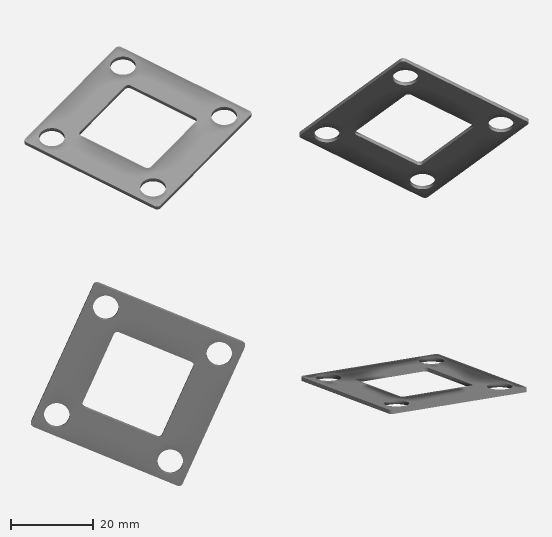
import cadquery as cq

side = 40.0
thickness = 1.0
corner_radius = 1.0

window_side = 21.0
window_corner_radius = 1.0

hole_diameter = 6.2
hole_spacing = 30.0


def rounded_square(width, radius):
    """Square prism of the plate thickness with rounded vertical edges."""
    return cq.Workplane("XY").box(width, width, thickness).edges("|Z").fillet(radius)


plate = rounded_square(side, corner_radius)
window = rounded_square(window_side, window_corner_radius)

result = (
    plate.cut(window)
    .faces(">Z")
    .workplane(origin=(0, 0, 0))
    .rect(hole_spacing, hole_spacing, forConstruction=True)
    .vertices()
    .hole(hole_diameter)
)